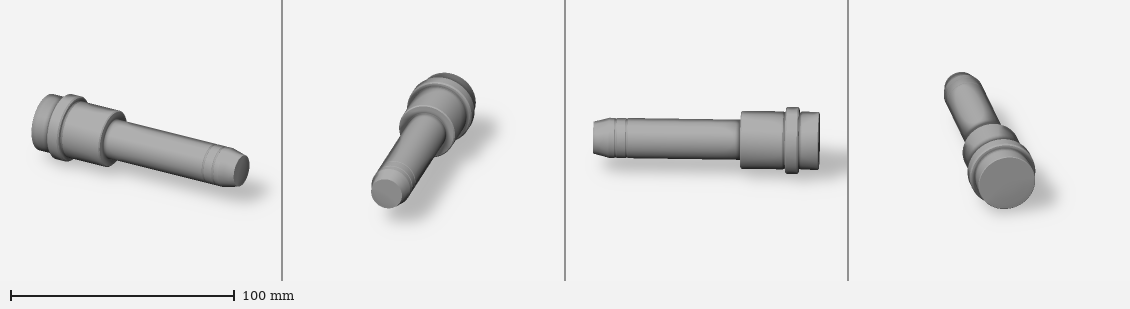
import cadquery as cq
import math

length = 101.0

head_radius = 26.0 / 2
collar_radius = 30.0 / 2
collar_start = 9.0
collar_width = 6.0
collar_end = collar_start + collar_width
head_end = 35.0
plug_chamfer = 0.3
collar_chamfer = 0.6
head_end_chamfer = 0.5

relief_width = 1.0
relief_depth = 0.3

shank_radius = 18.0 / 2
shank_root_fillet = 0.3
ring_groove_starts = (85.5, 90.5)
ring_groove_width = 1.0
ring_groove_depth = 0.3

taper_length = 7.1
tip_radius = 7.2


def cylinder(start, end, radius):
    """Solid cylinder on the X axis between two stations."""
    return cq.Workplane("YZ", origin=(start, 0, 0)).circle(radius).extrude(end - start)


def ring_cutter(start, width, radius, depth):
    """Torus that cuts a round-bottomed groove of the given width and depth."""
    arc_radius = (width ** 2 / 4 + depth ** 2) / (2 * depth)
    axis_distance = radius - depth + arc_radius
    torus = (
        cq.Workplane("XY")
        .moveTo(start + width / 2, axis_distance)
        .circle(arc_radius)
        .revolve(360, (0, 0, 0), (1, 0, 0))
    )
    return torus.intersect(cylinder(start, start + width, axis_distance))


def make_head():
    plug = cylinder(0, collar_start, head_radius).faces("<X").chamfer(plug_chamfer)
    collar = cylinder(collar_start, collar_end, collar_radius).edges().chamfer(collar_chamfer)
    body = cylinder(collar_end, head_end, head_radius).faces(">X").chamfer(head_end_chamfer)
    head = plug.union(collar).union(body)
    for start in (collar_start - relief_width, collar_end):
        head = head.cut(ring_cutter(start, relief_width, head_radius, relief_depth))
    return head


def make_shank():
    """Shank with two ring grooves and a conical tip."""
    taper_start = length - taper_length
    taper = cq.Workplane("YZ", origin=(taper_start, 0, 0)).circle(shank_radius)
    taper = taper.workplane(offset=taper_length).circle(tip_radius).loft()
    shank = cylinder(head_end, taper_start, shank_radius).union(taper)
    for start in ring_groove_starts:
        shank = shank.cut(ring_cutter(start, ring_groove_width, shank_radius, ring_groove_depth))
    return shank


def make_root_fillet():
    """Concave fillet where the shank leaves the end face of the head."""
    flank = shank_root_fillet * (1 - math.sqrt(0.5))
    return (
        cq.Workplane("XY")
        .moveTo(head_end, shank_radius)
        .lineTo(head_end, shank_radius + shank_root_fillet)
        .threePointArc((head_end + flank, shank_radius + flank), (head_end + shank_root_fillet, shank_radius))
        .close()
        .revolve(360, (0, 0, 0), (1, 0, 0))
    )


result = make_head().union(make_shank()).union(make_root_fillet())